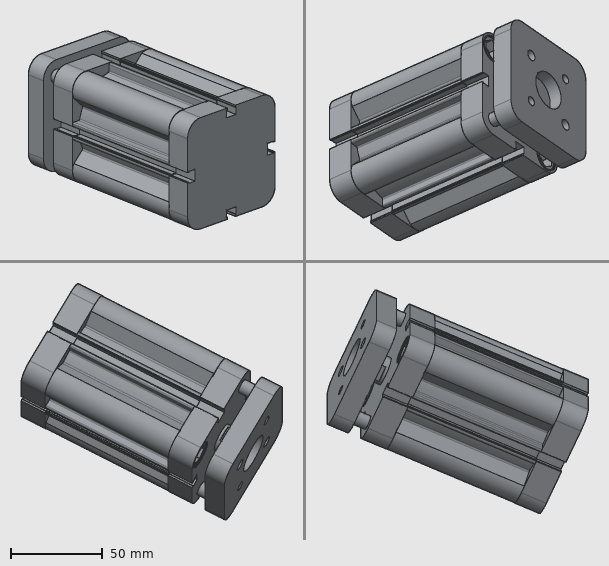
import cadquery as cq
import math

LENGTH = 126.5
WIDTH = 65.5
PLATE_THICKNESS = 12.0
GAP = 8.0
CAP_LENGTH = 14.9
CORNER_RADIUS = 9.7

X_PLATE = -LENGTH / 2
X_PLATE_BACK = X_PLATE + PLATE_THICKNESS
X_FRONT_CAP = X_PLATE_BACK + GAP
X_TUBE = X_FRONT_CAP + CAP_LENGTH
X_REAR_CAP = LENGTH / 2 - CAP_LENGTH
TUBE_LENGTH = X_REAR_CAP - X_TUBE

CENTRE_HOLE_DIAMETER = 22.0
CENTRE_HOLE_DEPTH = 7.6
PLATE_HOLE_OFFSET = 14.9
SMALL_HOLE_DIAMETER = 5.2
LARGE_HOLE_DIAMETER = 6.2

CORNER_OFFSET = 23.3
GUIDE_ROD_DIAMETER = 8.0

PISTON_ROD_DIAMETER = 16.0
PISTON_ROD_CHAMFER = 0.4
FLAT_WIDTH = 13.0
FLAT_LENGTH = 6.2

OUTER_STEP_DIAMETER = 16.0
INNER_STEP_DIAMETER = 14.4
STEP_DEPTH = 0.4
HEX_ACROSS_FLATS = 10.4
HEX_DEPTH = 6.0

SLOT_FLOOR = 27.2
SLOT_LIP = 1.3
CAP_SLOT_WIDTH = 6.1
CAP_SLOT_INNER_WIDTH = 7.0
TUBE_SLOT_WIDTH = 5.3
TUBE_SLOT_INNER_WIDTH = 6.1
TUBE_SLOT_CHAMFER = 0.4

TUBE_HALF_WIDTH = 32.5
BARREL_RADIUS = 27.8
LOBE_RADIUS = TUBE_HALF_WIDTH - CORNER_OFFSET
LOBE_EDGE = 19.2
LOBE_TOP = CORNER_OFFSET + math.sqrt(LOBE_RADIUS ** 2 - (CORNER_OFFSET - LOBE_EDGE) ** 2)
FLANK_RISE = LOBE_TOP - LOBE_EDGE
GROOVE_ROUNDING = 1.0
RAIL_WIDTH = 10.4
RAIL_ROUNDING = 0.8
EDGE_TOLERANCE = 0.01


def x_cylinder(diameter, x_start, length, y=0.0, z=0.0):
    """A cylinder along +X."""
    solid = cq.Solid.makeCylinder(diameter / 2, length, cq.Vector(x_start, y, z), cq.Vector(1, 0, 0))
    return cq.Workplane(obj=solid)


def rounded_block(x_start, length):
    """A square block with rounded long edges."""
    block = cq.Workplane("YZ", origin=(x_start, 0, 0)).rect(WIDTH, WIDTH).extrude(length)
    return block.edges("|X").fillet(CORNER_RADIUS)


def on_four_sides(shape):
    """The shape repeated at quarter turns about the X axis."""
    return [shape.rotate((0, 0, 0), (1, 0, 0), 90 * turn) for turn in range(4)]


def z_box(x_start, length, width, z_low, z_high):
    """A box along X that is centred on Y = 0."""
    box = cq.Workplane("XY", origin=(x_start, 0, z_low))
    return box.rect(length, width).extrude(z_high - z_low).translate((length / 2, 0, 0))


def t_slot(x_start, length, mouth_width, inner_width, z_mouth):
    """The space of a T-slot that opens upward at z_mouth."""
    mouth = z_box(x_start, length, mouth_width, SLOT_FLOOR, z_mouth)
    return mouth.union(z_box(x_start, length, inner_width, SLOT_FLOOR, z_mouth - SLOT_LIP))


def make_yoke():
    """The plate with its two guide rods, which reach back to the front cap."""
    yoke = rounded_block(X_PLATE, PLATE_THICKNESS)
    yoke = yoke.cut(x_cylinder(CENTRE_HOLE_DIAMETER, X_PLATE, CENTRE_HOLE_DEPTH))
    for side in (1, -1):
        offset = side * PLATE_HOLE_OFFSET
        yoke = yoke.cut(x_cylinder(LARGE_HOLE_DIAMETER, X_PLATE, PLATE_THICKNESS, offset, offset))
        yoke = yoke.cut(x_cylinder(SMALL_HOLE_DIAMETER, X_PLATE, PLATE_THICKNESS, offset, -offset))
    for side in (1, -1):
        offset = side * CORNER_OFFSET
        yoke = yoke.union(x_cylinder(GUIDE_ROD_DIAMETER, X_PLATE_BACK, GAP, offset, -offset))
    return yoke


def make_piston_rod():
    rod = x_cylinder(PISTON_ROD_DIAMETER, X_PLATE_BACK, GAP)
    rod = rod.faces("<X").chamfer(PISTON_ROD_CHAMFER)
    for turn in (0, 180):
        flat = z_box(X_PLATE_BACK, FLAT_LENGTH, PISTON_ROD_DIAMETER, FLAT_WIDTH / 2, PISTON_ROD_DIAMETER)
        rod = rod.cut(flat.rotate((0, 0, 0), (1, 0, 0), turn))
    return rod


def make_cap(x_start):
    cap = rounded_block(x_start, CAP_LENGTH)
    slot = t_slot(x_start, CAP_LENGTH, CAP_SLOT_WIDTH, CAP_SLOT_INNER_WIDTH, WIDTH / 2)
    for cutter in on_four_sides(slot):
        cap = cap.cut(cutter)
    return cap


def make_front_cap():
    cap = make_cap(X_FRONT_CAP)
    for side in (1, -1):
        offset = side * CORNER_OFFSET
        cap = cap.cut(x_cylinder(OUTER_STEP_DIAMETER, X_FRONT_CAP, STEP_DEPTH, offset, offset))
        cap = cap.cut(x_cylinder(INNER_STEP_DIAMETER, X_FRONT_CAP, 2 * STEP_DEPTH, offset, offset))
        socket = cq.Workplane("YZ", origin=(X_FRONT_CAP + 2 * STEP_DEPTH, offset, offset))
        socket = socket.polygon(6, HEX_ACROSS_FLATS, circumscribed=True)
        cap = cap.cut(socket.extrude(HEX_DEPTH))
    return cap


def lengthwise_edges(shape, near, far):
    """The edges along X that lie at distances near and far from the two planes of symmetry."""
    found = []
    for edge in shape.edges("|X").vals():
        centre = edge.Center()
        low, high = sorted((abs(centre.y), abs(centre.z)))
        if math.hypot(low - near, high - far) < EDGE_TOLERANCE:
            found.append(edge)
    return shape.newObject(found)


def make_lobe():
    """A corner lobe: a round back whose two flanks run into the barrel at 45 degrees."""
    tip = CORNER_OFFSET + LOBE_RADIUS / math.sqrt(2)
    lobe = cq.Workplane("YZ", origin=(X_TUBE, 0, 0)).moveTo(0, FLANK_RISE)
    lobe = lobe.lineTo(LOBE_EDGE, LOBE_TOP).threePointArc((tip, tip), (LOBE_TOP, LOBE_EDGE))
    return lobe.lineTo(FLANK_RISE, 0).close().extrude(TUBE_LENGTH)


def make_tube():
    tube = cq.Workplane("YZ", origin=(X_TUBE, 0, 0)).circle(BARREL_RADIUS).extrude(TUBE_LENGTH)
    rail = z_box(X_TUBE, TUBE_LENGTH, RAIL_WIDTH, 0, TUBE_HALF_WIDTH)
    for addition in on_four_sides(make_lobe()) + on_four_sides(rail):
        tube = tube.union(addition)

    groove_near = (math.sqrt(2 * BARREL_RADIUS ** 2 - FLANK_RISE ** 2) - FLANK_RISE) / 2
    tube = lengthwise_edges(tube, groove_near, groove_near + FLANK_RISE).fillet(GROOVE_ROUNDING)
    rail_side = RAIL_WIDTH / 2
    rail_foot = math.sqrt(BARREL_RADIUS ** 2 - rail_side ** 2)
    tube = lengthwise_edges(tube, rail_side, rail_foot).fillet(RAIL_ROUNDING)
    tube = lengthwise_edges(tube, rail_side, TUBE_HALF_WIDTH).fillet(RAIL_ROUNDING)

    slot = t_slot(X_TUBE, TUBE_LENGTH, TUBE_SLOT_WIDTH, TUBE_SLOT_INNER_WIDTH, TUBE_HALF_WIDTH)
    for cutter in on_four_sides(slot):
        tube = tube.cut(cutter)
    return lengthwise_edges(tube, TUBE_SLOT_WIDTH / 2, TUBE_HALF_WIDTH).chamfer(TUBE_SLOT_CHAMFER)


yoke = make_yoke()
piston_rod = make_piston_rod()
front_cap = make_front_cap()
tube = make_tube()
rear_cap = make_cap(X_REAR_CAP)

result = cq.Compound.makeCompound(
    [yoke.val(), piston_rod.val(), front_cap.val(), tube.val(), rear_cap.val()]
)